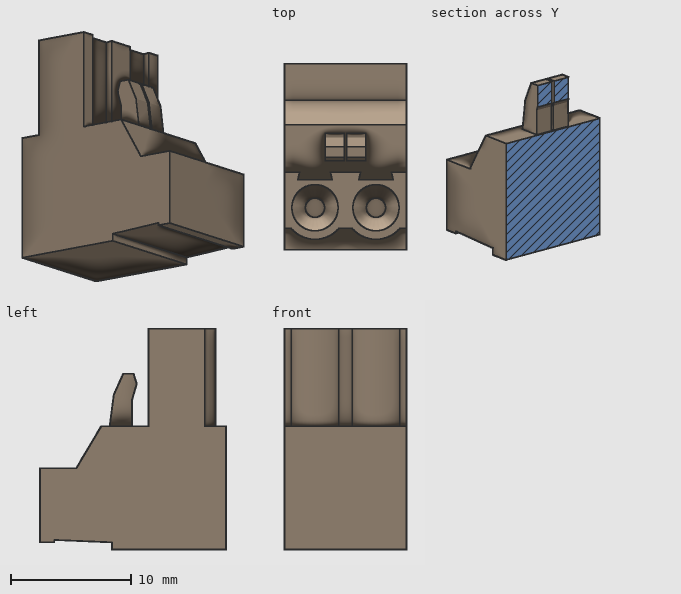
import cadquery as cq
import math

pole_count = 2
pitch = 5.08
width = pole_count * pitch
depth = 15.5
height = 18.4
shoulder_z = 10.28

rear_top_z = 6.8
slope_top_y = 10.4
slope_foot_y = 12.47
underside_step_y = 9.5
underside_step_z = 0.6
rear_lip_length = 1.2
rear_lip_rise = 0.2

tower_front_y = 1.78
tower_back_y = 6.47
sleeve_y = 3.5
sleeve_radius = 2.63

funnel_top_radius = 1.925
funnel_floor_radius = 0.8
funnel_depth = funnel_top_radius - funnel_floor_radius

groove_depth = 0.65
groove_mouth_width = 2.56
groove_floor_width = 2.86

latch_width = 1.59
latch_gap = 0.2
latch_top_z = 14.65
latch_front_y = 7.83
latch_nose_y = 7.43
latch_nose_z = 13.82
latch_nose_foot_z = 12.44
latch_tip_front_y = 7.7
latch_tip_back_y = 8.57
latch_bend_y = 9.36
latch_bend_z = 12.9
latch_base_back_y = 9.7

pole_positions = [(i - (pole_count - 1) / 2) * pitch for i in range(pole_count)]
tower_height = height - shoulder_z


def extrude_side_profile(points, x_start, x_length):
    """Extrude an outline of (y, z) points along +X."""
    return cq.Workplane("YZ", origin=(x_start, 0, 0)).polyline(points).close().extrude(x_length)


def make_housing():
    """Stepped body with a sloped rear shoulder and a shallow lip under the back edge."""
    lip_y = depth - rear_lip_length
    outline = [
        (0, 0),
        (underside_step_y, 0),
        (underside_step_y, underside_step_z),
        (lip_y, underside_step_z + rear_lip_rise),
        (lip_y, underside_step_z),
        (depth, underside_step_z),
        (depth, rear_top_z),
        (slope_foot_y, rear_top_z),
        (slope_top_y, shoulder_z),
        (0, shoulder_z),
    ]
    return extrude_side_profile(outline, -width / 2, width)


def make_tower():
    """Tower whose front face bulges into one round sleeve per pole."""
    sleeve_half_chord = math.sqrt(sleeve_radius**2 - (sleeve_y - tower_front_y) ** 2)
    outline = cq.Workplane("XY", origin=(0, 0, shoulder_z))
    outline = outline.moveTo(-width / 2, tower_back_y).lineTo(-width / 2, tower_front_y)
    for x in pole_positions:
        outline = outline.lineTo(x - sleeve_half_chord, tower_front_y)
        outline = outline.threePointArc(
            (x, sleeve_y - sleeve_radius),
            (x + sleeve_half_chord, tower_front_y),
        )
    outline = outline.lineTo(width / 2, tower_front_y).lineTo(width / 2, tower_back_y)
    return outline.close().extrude(tower_height)


def make_funnel(x):
    """Conical pin entry with a flat floor."""
    return (
        cq.Workplane("XY", origin=(x, sleeve_y, height))
        .circle(funnel_top_radius)
        .workplane(offset=-funnel_depth)
        .circle(funnel_floor_radius)
        .loft(ruled=True)
    )


def make_groove(x):
    """Dovetail groove over the full height of the tower, wider at its floor."""
    floor_y = tower_back_y - groove_depth
    outline = [
        (-groove_mouth_width / 2, tower_back_y),
        (-groove_floor_width / 2, floor_y),
        (groove_floor_width / 2, floor_y),
        (groove_mouth_width / 2, tower_back_y),
    ]
    return cq.Workplane("XY", origin=(x, 0, shoulder_z)).polyline(outline).close().extrude(tower_height)


def make_latch(x_start):
    """Tapered latch hook with its nose facing the tower."""
    outline = [
        (latch_front_y, shoulder_z),
        (latch_front_y, latch_nose_foot_z),
        (latch_nose_y, latch_nose_z),
        (latch_tip_front_y, latch_top_z),
        (latch_tip_back_y, latch_top_z),
        (latch_bend_y, latch_bend_z),
        (latch_base_back_y, shoulder_z),
    ]
    return extrude_side_profile(outline, x_start, latch_width)


result = make_housing().union(make_tower())

for pole_x in pole_positions:
    result = result.cut(make_funnel(pole_x))
    result = result.cut(make_groove(pole_x))

for latch_x in (-latch_gap / 2 - latch_width, latch_gap / 2):
    result = result.union(make_latch(latch_x))